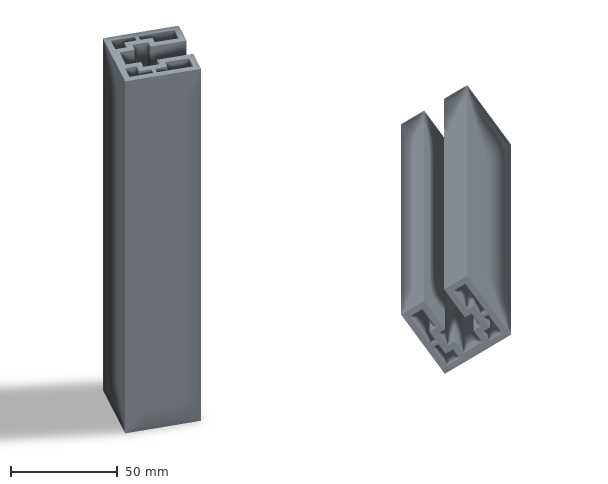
import cadquery as cq

length = 200.0
side = 37.0
half_side = side / 2

wall = 3.0
web = 1.8
slot_floor = 4.2

mouth_half = 5.5
chamber_half = 9.5
groove_half = 5.2
chamber_bottom = 11.5
chamber_top = 19.5
web_bottom = 14.5

hollow_outer = half_side - wall
hollow_inner = chamber_half + wall
lower_shoulder = chamber_bottom - wall
upper_shoulder = chamber_top + wall
web_top = web_bottom + web


def bar(x_min, x_max, bottom, top):
    """Full-length bar; bottom and top are measured from the back face in Y."""
    return cq.Workplane("XY").box(x_max - x_min, top - bottom, length, centered=False).translate(
        (x_min, bottom - half_side, 0)
    )


def central_slot():
    groove = bar(-groove_half, groove_half, slot_floor, chamber_bottom)
    chamber = bar(-chamber_half, chamber_half, chamber_bottom, chamber_top)
    mouth = bar(-mouth_half, mouth_half, chamber_top, side)
    return groove.union(chamber).union(mouth)


def lower_hollow():
    foot = bar(groove_half + wall, hollow_outer, wall, lower_shoulder)
    leg = bar(hollow_inner, hollow_outer, lower_shoulder, web_bottom)
    return foot.union(leg)


def upper_hollow():
    leg = bar(hollow_inner, hollow_outer, web_top, upper_shoulder)
    head = bar(mouth_half + wall, hollow_outer, upper_shoulder, side - wall)
    return leg.union(head)


result = bar(-half_side, half_side, 0, side).cut(central_slot())
for hollow in (lower_hollow(), upper_hollow()):
    result = result.cut(hollow).cut(hollow.mirror("YZ"))